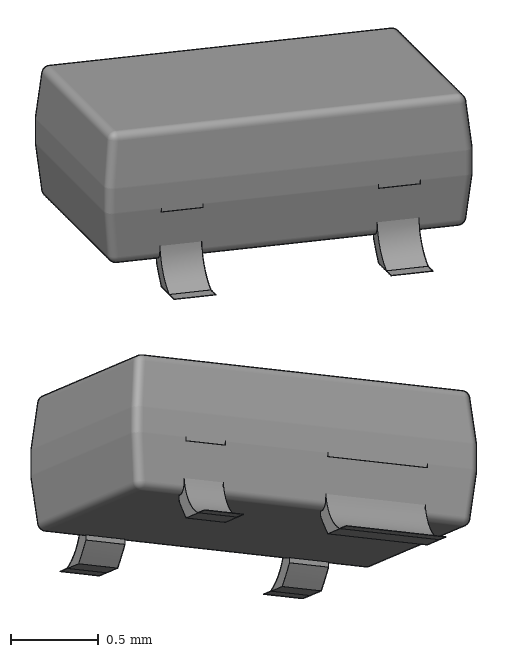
import cadquery as cq

BODY_LENGTH_X = 1.34
BODY_LENGTH_Y = 2.2
BODY_BOTTOM = 0.15
BODY_TOP = 0.94
BAND_HEIGHT = 0.15
DRAFT_ANGLE = 6.0
EDGE_RADIUS = 0.05

BODY_MID = (BODY_BOTTOM + BODY_TOP) / 2
BAND_BOTTOM = BODY_MID - BAND_HEIGHT / 2
BAND_TOP = BODY_MID + BAND_HEIGHT / 2
BODY_HALF_X = BODY_LENGTH_X / 2

LEAD_SPAN = 1.8
LEAD_TIP = LEAD_SPAN / 2
LEAD_ROOT = 0.5
FOOT_THICKNESS = 0.002
FOOT_BEND = 0.815
HEEL = BODY_HALF_X
OUTER_BEND_MID = (0.725, 0.067)
OUTER_BEND_TOP = (0.645, 0.24)
INNER_BEND_MID = (0.620, 0.063)
INNER_BEND_TOP = (0.579, 0.12)

SHOULDER_TOP = 0.60
SHOULDER_BOTTOM = 0.45

LEAD_WIDTH = 0.25
WIDE_LEAD_WIDTH = 0.635
LEAD_OFFSET_Y = 0.65
WIDE_LEAD_OUTER_Y = -0.765
WIDE_LEAD_CENTRE_Y = WIDE_LEAD_OUTER_Y + WIDE_LEAD_WIDTH / 2

LEADS = [
    (1, LEAD_OFFSET_Y, LEAD_WIDTH),
    (1, -LEAD_OFFSET_Y, LEAD_WIDTH),
    (-1, LEAD_OFFSET_Y, LEAD_WIDTH),
    (-1, WIDE_LEAD_CENTRE_Y, WIDE_LEAD_WIDTH),
]


def make_body_section(base_height, height, draft):
    """Extrude the body rectangle from a height, narrowing by the draft angle."""
    return (
        cq.Workplane("XY")
        .workplane(offset=base_height)
        .rect(BODY_LENGTH_X, BODY_LENGTH_Y)
        .extrude(height, taper=draft)
    )


def make_body():
    """Join the band and both drafted halves, then round every edge."""
    band = make_body_section(BAND_BOTTOM, BAND_HEIGHT, 0)
    upper = make_body_section(BAND_TOP, BODY_TOP - BAND_TOP, DRAFT_ANGLE)
    lower = make_body_section(BAND_BOTTOM, BODY_BOTTOM - BAND_BOTTOM, DRAFT_ANGLE)
    block = band.union(upper).union(lower)
    return block.edges().fillet(EDGE_RADIUS)


def extrude_lead_profile(profile, centre_y, width, side):
    """Extrude an XZ profile across the lead width and put it on its side."""
    lead = profile.extrude(width / 2, both=True)
    if side < 0:
        lead = lead.mirror("YZ")
    return lead.translate((0, centre_y, 0))


def make_lead_leg(side, centre_y, width):
    """Curved leg leaving the body bottom and ending in the flat foot."""
    profile = (
        cq.Workplane("XZ")
        .moveTo(HEEL, 0)
        .lineTo(LEAD_TIP, 0)
        .lineTo(LEAD_TIP, FOOT_THICKNESS)
        .lineTo(FOOT_BEND, FOOT_THICKNESS)
        .threePointArc(OUTER_BEND_MID, OUTER_BEND_TOP)
        .lineTo(INNER_BEND_TOP[0], OUTER_BEND_TOP[1])
        .lineTo(*INNER_BEND_TOP)
        .threePointArc(INNER_BEND_MID, (HEEL, 0))
        .close()
    )
    return extrude_lead_profile(profile, centre_y, width, side)


def make_lead_shoulder(side, centre_y, width):
    """Straight upper part of the lead, ending flush with the band."""
    profile = (
        cq.Workplane("XZ")
        .moveTo(LEAD_ROOT, SHOULDER_BOTTOM)
        .lineTo(BODY_HALF_X, SHOULDER_BOTTOM)
        .lineTo(BODY_HALF_X, SHOULDER_TOP)
        .lineTo(LEAD_ROOT, SHOULDER_TOP)
        .close()
    )
    return extrude_lead_profile(profile, centre_y, width, side)


result = make_body()
for lead_side, lead_y, lead_width in LEADS:
    leg = make_lead_leg(lead_side, lead_y, lead_width)
    shoulder = make_lead_shoulder(lead_side, lead_y, lead_width)
    result = result.union(leg, clean=False).union(shoulder, clean=False)